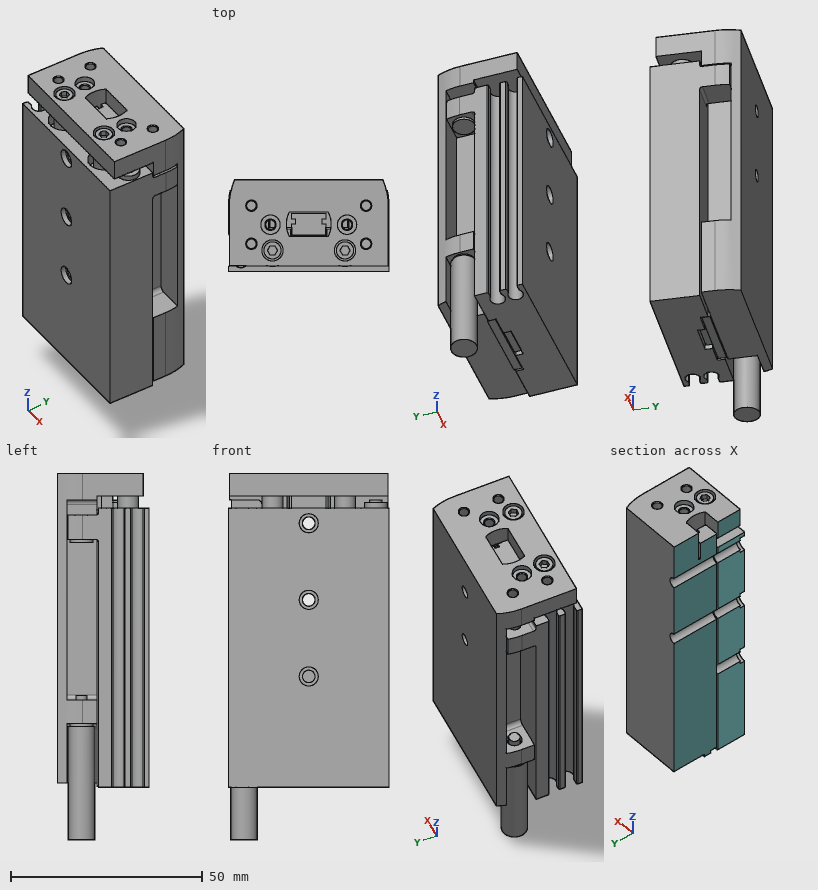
import cadquery as cq

TOTAL_HEIGHT = 95.8
HOUSING_WIDTH = 42.0
TOTAL_DEPTH = 24.0

HOUSING_BOTTOM = 13.7
HOUSING_TOP = 86.7
HOUSING_DEPTH = 13.3
GUIDE_RECESS_WIDTH = 20.9
GUIDE_RECESS_Y = 11.2
RAIL_CHANNEL_WIDTH = 9.4
RAIL_CHANNEL_Y = 9.2

GROOVE_DIAMETER = 4.0
GROOVE_OPENING = 3.0
GROOVE_CHAMFER = 0.3
GROOVE_AXIS_X = -17.7
GROOVE_FRONT_Y = 3.1
GROOVE_BACK_Y = 8.0
RIB_SETBACK = 0.4

LUG_BOTTOM = 78.6
LUG_TOP = 84.9
LUG_BACK_Y = 21.3
LUG_FILLET = 0.8
SELECTION_MARGIN = 0.1
LUG_HOLE_DIAMETER = 3.3
STOP_PAD_DIAMETER = 6.0
STOP_PAD_HEIGHT = 0.8

MOUNT_HOLE_DIAMETER = 3.3
MOUNT_BORE_DIAMETER = 5.0
MOUNT_BORE_DEPTH = 1.4
MOUNT_HOLE_COUNT = 3
ACCESS_HOLE_COUNT = 2
MOUNT_PITCH = 20.0
MOUNT_TOP_Z = 82.8

TABLE_WIDTH = 41.5
TABLE_BOTTOM = 14.85
BACK_PLATE_THICKNESS = 2.5
BLOCK_FRONT_Y = 13.7
END_PLATE_FRONT_Y = 1.5
END_PLATE_THICKNESS = 5.9
SIDE_ARC_START_Y = 17.4
SIDE_ARC_RADIUS = 17.0
PILLAR_LEFT_X = -12.3
POCKET_FILLET = 1.2
POCKET_TOP = 88.9
POCKET_BOTTOM = 36.6
LUG_CLEARANCE = 0.5
BOSS_BOTTOM = 30.5

CARRIAGE_WIDTH = 20.3
CARRIAGE_FRONT_Y = 11.5
CARRIAGE_TOP = 86.2
CARRIAGE_BOTTOM = 14.0
RAIL_WIDTH = 9.0
RAIL_FRONT_Y = 9.5
RAIL_BACK_Y = 15.1
RAIL_TOP = 91.8
RAIL_GROOVE_DEPTH = 1.1
RAIL_GROOVE_FRONT_Y = 12.5

WINDOW_FRONT_Y = 9.2
WINDOW_BACK_Y = 15.6
WINDOW_STRAIGHT_WIDTH = 10.2
WINDOW_FULL_WIDTH = 11.7

THREAD_DIAMETER = 2.5
THREAD_RIM_DIAMETER = 3.0
CORNER_HOLE_DEPTH = 4.8
CORNER_HOLE_PITCH_X = 30.0
CORNER_HOLE_PITCH_Y = 10.0
CORNER_HOLE_CENTER_Y = 12.3
CLAMP_BORE_DIAMETER = 5.1
CLAMP_BORE_DEPTH = 1.5
CLAMP_HOLE_PITCH = 20.0
CLAMP_HOLE_Y = 12.3

ROD_PITCH = 19.0
ROD_Y = 5.6
ROD_DIAMETER = 5.6
ROD_BOTTOM = 47.9
ROD_NECK_DIAMETER = 2.5
ROD_HEAD_DIAMETER = 4.5
ROD_HEAD_HEIGHT = 2.9
ROD_HEAD_BORE_DIAMETER = 5.6
ROD_HEAD_BORE_DEPTH = 3.3
ROD_SOCKET_WIDTH = 2.3
ROD_SOCKET_DEPTH = 1.5
ROD_RECESS_DIAMETER = 8.4
ROD_RECESS_DEPTH = 3.8

ADJUSTER_X = -17.0
ADJUSTER_Y = 17.7
ADJUSTER_DIAMETER = 7.0
ADJUSTER_SHOULDER_Z = 29.6
ADJUSTER_COLLAR_DIAMETER = 6.0
ADJUSTER_STEM_DIAMETER = 3.0
ADJUSTER_STEM_TOP = 37.7
STEM_BORE_DIAMETER = 4.0
STEM_BORE_DEPTH = 1.9

PLUG_X = 17.5
PLUG_Y = 7.95
PLUG_HEAD_DIAMETER = 6.0
PLUG_HEAD_HEIGHT = 1.4
PLUG_STEM_DIAMETER = 3.3
PLUG_STEM_TOP = 88.8
PLUG_DEPTH = 4.8

END_PLATE_BOTTOM = TOTAL_HEIGHT - END_PLATE_THICKNESS
BACK_PLATE_FRONT_Y = TOTAL_DEPTH - BACK_PLATE_THICKNESS
HOUSING_LEFT_X = -HOUSING_WIDTH / 2
ROD_XS = (-ROD_PITCH / 2, ROD_PITCH / 2)


def block(x_range, y_range, z_range):
    """Box between the given limits."""
    sizes = [high - low for low, high in (x_range, y_range, z_range)]
    return cq.Workplane("XY").box(*sizes, centered=False).translate((x_range[0], y_range[0], z_range[0]))


def centered_block(width, y_range, z_range):
    """Box of the given width, symmetric about X = 0."""
    return block((-width / 2, width / 2), y_range, z_range)


def cylinder(x, y, diameter, bottom, top):
    """Upright cylinder between two heights."""
    return cq.Workplane("XY").workplane(offset=bottom).center(x, y).circle(diameter / 2).extrude(top - bottom)


def cross_hole(z, diameter, depth):
    """Cylinder along +Y from the front face of the housing."""
    return cq.Workplane("XZ").center(0, z).circle(diameter / 2).extrude(-depth)


def arc_sided_block(width, front_y, back_y, bottom, top):
    """Block whose two sides curve inward behind the start of the side arc."""
    rise = back_y - SIDE_ARC_START_Y
    inset = SIDE_ARC_RADIUS - (SIDE_ARC_RADIUS**2 - rise**2) ** 0.5
    half = width / 2
    return (
        cq.Workplane("XY")
        .workplane(offset=bottom)
        .moveTo(-half, front_y)
        .lineTo(half, front_y)
        .lineTo(half, SIDE_ARC_START_Y)
        .radiusArc((half - inset, back_y), -SIDE_ARC_RADIUS)
        .lineTo(inset - half, back_y)
        .radiusArc((-half, SIDE_ARC_START_Y), -SIDE_ARC_RADIUS)
        .close()
        .extrude(top - bottom)
    )


def sensor_groove(axis_y, front_lip_x, back_lip_x):
    """Round groove with a narrower opening in the left side, chamfered at both lips."""
    z_range = (HOUSING_BOTTOM, HOUSING_TOP)
    front_y = axis_y - GROOVE_OPENING / 2
    back_y = axis_y + GROOVE_OPENING / 2
    opening = block((HOUSING_LEFT_X, GROOVE_AXIS_X), (front_y, back_y), z_range)
    mouth_outline = [
        (HOUSING_LEFT_X, front_y - GROOVE_CHAMFER),
        (front_lip_x, front_y - GROOVE_CHAMFER),
        (front_lip_x + GROOVE_CHAMFER, front_y),
        (back_lip_x + GROOVE_CHAMFER, back_y),
        (back_lip_x, back_y + GROOVE_CHAMFER),
        (HOUSING_LEFT_X, back_y + GROOVE_CHAMFER),
    ]
    mouth_points = list(dict.fromkeys(mouth_outline))
    mouth = (
        cq.Workplane("XY")
        .workplane(offset=HOUSING_BOTTOM)
        .polyline(mouth_points)
        .close()
        .extrude(HOUSING_TOP - HOUSING_BOTTOM)
    )
    return cylinder(GROOVE_AXIS_X, axis_y, GROOVE_DIAMETER, *z_range).union(opening).union(mouth)


def lugs():
    """Stop lugs that rise from both edges of the housing into the table's pockets."""
    lug_inner = -PILLAR_LEFT_X + LUG_CLEARANCE
    both = arc_sided_block(HOUSING_WIDTH, GUIDE_RECESS_Y, LUG_BACK_Y, LUG_BOTTOM, LUG_TOP)
    return both.cut(centered_block(2 * lug_inner, (0, TOTAL_DEPTH), (LUG_BOTTOM, LUG_TOP)))


def make_housing():
    z_range = (HOUSING_BOTTOM, HOUSING_TOP)
    body = centered_block(HOUSING_WIDTH, (0, HOUSING_DEPTH), z_range).union(lugs())
    lug_roots = cq.selectors.BoxSelector(
        (-HOUSING_WIDTH, HOUSING_DEPTH - SELECTION_MARGIN, LUG_BOTTOM - SELECTION_MARGIN),
        (HOUSING_WIDTH, HOUSING_DEPTH + SELECTION_MARGIN, LUG_TOP + SELECTION_MARGIN),
    )
    body = body.edges("|X").edges(lug_roots).fillet(LUG_FILLET)

    body = body.cut(centered_block(GUIDE_RECESS_WIDTH, (GUIDE_RECESS_Y, HOUSING_DEPTH), z_range))
    body = body.cut(centered_block(RAIL_CHANNEL_WIDTH, (RAIL_CHANNEL_Y, HOUSING_DEPTH), z_range))

    rib_x = HOUSING_LEFT_X + RIB_SETBACK
    body = body.cut(sensor_groove(GROOVE_FRONT_Y, HOUSING_LEFT_X, rib_x))
    body = body.cut(sensor_groove(GROOVE_BACK_Y, rib_x, HOUSING_LEFT_X))
    body = body.cut(block((HOUSING_LEFT_X, rib_x), (GROOVE_FRONT_Y, GROOVE_BACK_Y), z_range))

    for row in range(MOUNT_HOLE_COUNT):
        z = MOUNT_TOP_Z - row * MOUNT_PITCH
        body = body.cut(cross_hole(z, MOUNT_HOLE_DIAMETER, HOUSING_DEPTH))
        body = body.cut(cross_hole(z, MOUNT_BORE_DIAMETER, MOUNT_BORE_DEPTH))

    for x in ROD_XS:
        body = body.cut(cylinder(x, ROD_Y, ROD_DIAMETER, ROD_BOTTOM, HOUSING_TOP))
        body = body.cut(cylinder(x, ROD_Y, ROD_RECESS_DIAMETER, HOUSING_TOP - ROD_RECESS_DEPTH, HOUSING_TOP))

    body = body.union(
        cylinder(ADJUSTER_X, ADJUSTER_Y, STOP_PAD_DIAMETER, LUG_BOTTOM - STOP_PAD_HEIGHT, LUG_BOTTOM)
    )
    body = body.cut(cylinder(ADJUSTER_X, ADJUSTER_Y, LUG_HOLE_DIAMETER, LUG_BOTTOM, LUG_TOP))

    return body.cut(cylinder(PLUG_X, PLUG_Y, PLUG_STEM_DIAMETER, HOUSING_TOP - PLUG_DEPTH, HOUSING_TOP))


def side_pocket(bottom, top):
    """Pocket open to the left, with rounded inner corners."""
    x_range = (-HOUSING_WIDTH, PILLAR_LEFT_X)
    pocket = block(x_range, (BLOCK_FRONT_Y, BACK_PLATE_FRONT_Y), (bottom, top))
    return pocket.edges("|Y and >X").fillet(POCKET_FILLET)


def threaded_hole(x, y, top, depth):
    """Hole with a countersunk rim at its upper end."""
    rim_depth = (THREAD_RIM_DIAMETER - THREAD_DIAMETER) / 2
    hole = cylinder(x, y, THREAD_DIAMETER, top - depth, top)
    rim = cq.Solid.makeCone(
        THREAD_DIAMETER / 2, THREAD_RIM_DIAMETER / 2, rim_depth, pnt=cq.Vector(x, y, top - rim_depth)
    )
    return hole.union(rim)


def end_plate_window():
    """Round-sided opening that runs from the carriage up through the end plate."""
    half_straight = WINDOW_STRAIGHT_WIDTH / 2
    half_full = WINDOW_FULL_WIDTH / 2
    middle_y = (WINDOW_FRONT_Y + WINDOW_BACK_Y) / 2
    return (
        cq.Workplane("XY")
        .workplane(offset=CARRIAGE_TOP)
        .moveTo(-half_straight, WINDOW_FRONT_Y)
        .lineTo(half_straight, WINDOW_FRONT_Y)
        .threePointArc((half_full, middle_y), (half_straight, WINDOW_BACK_Y))
        .lineTo(-half_straight, WINDOW_BACK_Y)
        .threePointArc((-half_full, middle_y), (-half_straight, WINDOW_FRONT_Y))
        .close()
        .extrude(TOTAL_HEIGHT - CARRIAGE_TOP)
    )


def guide_rail():
    """Rail with a groove along each side."""
    z_range = (TABLE_BOTTOM, RAIL_TOP)
    rail = centered_block(RAIL_WIDTH, (RAIL_FRONT_Y, RAIL_BACK_Y), z_range)
    groove_y = (RAIL_GROOVE_FRONT_Y, BLOCK_FRONT_Y)
    core = centered_block(RAIL_WIDTH - 2 * RAIL_GROOVE_DEPTH, groove_y, z_range)
    return rail.cut(centered_block(RAIL_WIDTH, groove_y, z_range)).union(core)


def make_table():
    body = arc_sided_block(TABLE_WIDTH, BLOCK_FRONT_Y, TOTAL_DEPTH, TABLE_BOTTOM, END_PLATE_BOTTOM)
    end_plate = arc_sided_block(TABLE_WIDTH, END_PLATE_FRONT_Y, TOTAL_DEPTH, END_PLATE_BOTTOM, TOTAL_HEIGHT)
    body = body.union(end_plate).cut(end_plate_window())

    body = body.cut(side_pocket(POCKET_BOTTOM, POCKET_TOP))
    body = body.cut(side_pocket(TABLE_BOTTOM - POCKET_FILLET, BOSS_BOTTOM))
    body = body.cut(side_pocket(POCKET_BOTTOM, LUG_TOP + LUG_CLEARANCE).mirror("YZ"))

    carriage_y = (CARRIAGE_FRONT_Y, BLOCK_FRONT_Y)
    body = body.union(centered_block(CARRIAGE_WIDTH, carriage_y, (CARRIAGE_BOTTOM, CARRIAGE_TOP)))
    body = body.union(guide_rail())

    for row in range(ACCESS_HOLE_COUNT):
        body = body.cut(cross_hole(MOUNT_TOP_Z - row * MOUNT_PITCH, MOUNT_HOLE_DIAMETER, TOTAL_DEPTH))

    for x_sign in (-1, 1):
        for y_sign in (-1, 1):
            x = x_sign * CORNER_HOLE_PITCH_X / 2
            y = CORNER_HOLE_CENTER_Y + y_sign * CORNER_HOLE_PITCH_Y / 2
            body = body.cut(threaded_hole(x, y, TOTAL_HEIGHT, CORNER_HOLE_DEPTH))

    for x in (-CLAMP_HOLE_PITCH / 2, CLAMP_HOLE_PITCH / 2):
        bore_floor = TOTAL_HEIGHT - CLAMP_BORE_DEPTH
        body = body.cut(threaded_hole(x, CLAMP_HOLE_Y, bore_floor, bore_floor - END_PLATE_BOTTOM))
        body = body.cut(cylinder(x, CLAMP_HOLE_Y, CLAMP_BORE_DIAMETER, bore_floor, TOTAL_HEIGHT))

    for x in ROD_XS:
        body = body.cut(cylinder(x, ROD_Y, ROD_NECK_DIAMETER, END_PLATE_BOTTOM, TOTAL_HEIGHT))
        seat = TOTAL_HEIGHT - ROD_HEAD_BORE_DEPTH
        body = body.cut(cylinder(x, ROD_Y, ROD_HEAD_BORE_DIAMETER, seat, TOTAL_HEIGHT))

    bore_floor = POCKET_BOTTOM - STEM_BORE_DEPTH
    body = body.cut(cylinder(ADJUSTER_X, ADJUSTER_Y, ADJUSTER_STEM_DIAMETER, BOSS_BOTTOM, bore_floor))
    return body.cut(cylinder(ADJUSTER_X, ADJUSTER_Y, STEM_BORE_DIAMETER, bore_floor, ADJUSTER_STEM_TOP))


def make_rod(x):
    """Piston rod with a neck through the end plate and a socket head."""
    seat = TOTAL_HEIGHT - ROD_HEAD_BORE_DEPTH
    head_top = seat + ROD_HEAD_HEIGHT
    rod = cylinder(x, ROD_Y, ROD_DIAMETER, ROD_BOTTOM, END_PLATE_BOTTOM)
    rod = rod.union(cylinder(x, ROD_Y, ROD_NECK_DIAMETER, END_PLATE_BOTTOM, seat))
    head = cylinder(x, ROD_Y, ROD_HEAD_DIAMETER, seat, head_top)
    rod = rod.union(head)
    corner_diameter = ROD_SOCKET_WIDTH * 2 / 3**0.5
    socket = (
        cq.Workplane("XY")
        .workplane(offset=head_top)
        .center(x, ROD_Y)
        .polygon(6, corner_diameter)
        .extrude(-ROD_SOCKET_DEPTH)
    )
    return rod.cut(socket)


def make_adjuster():
    adjuster = cylinder(ADJUSTER_X, ADJUSTER_Y, ADJUSTER_DIAMETER, 0, ADJUSTER_SHOULDER_Z)
    collar = cylinder(ADJUSTER_X, ADJUSTER_Y, ADJUSTER_COLLAR_DIAMETER, ADJUSTER_SHOULDER_Z, BOSS_BOTTOM)
    stem = cylinder(ADJUSTER_X, ADJUSTER_Y, ADJUSTER_STEM_DIAMETER, BOSS_BOTTOM, ADJUSTER_STEM_TOP)
    return adjuster.union(collar).union(stem)


def make_plug():
    stem = cylinder(PLUG_X, PLUG_Y, PLUG_STEM_DIAMETER, HOUSING_TOP - PLUG_DEPTH, PLUG_STEM_TOP)
    head = cylinder(PLUG_X, PLUG_Y, PLUG_HEAD_DIAMETER, HOUSING_TOP, HOUSING_TOP + PLUG_HEAD_HEIGHT)
    return stem.union(head)


housing = make_housing()
table = make_table()
rods = [make_rod(x) for x in ROD_XS]
adjuster = make_adjuster()
plug = make_plug()

result = cq.Compound.makeCompound(
    [housing.val(), table.val(), *[rod.val() for rod in rods], adjuster.val(), plug.val()]
)